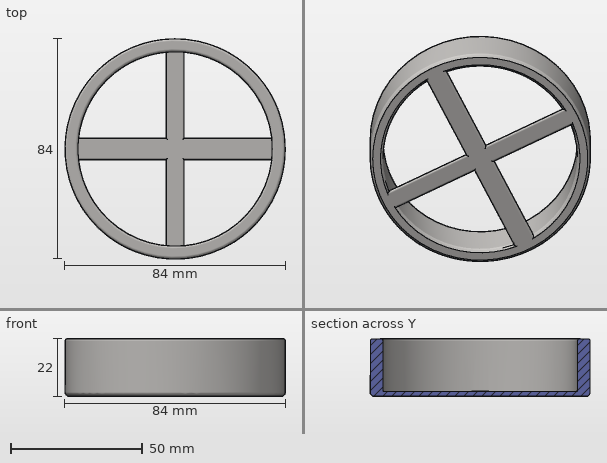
import cadquery as cq

outer_diameter = 84.0
inner_diameter = 74.0
height = 22.0
rim_fillet = 1.0
base_chamfer = 1.0
base_blend = 1.0

spoke_x_width = 8.2
spoke_y_width = 6.9
spoke_thickness = 2.0
spoke_top_fillet = 0.6
spoke_bottom_fillet = 0.75
spoke_length = (outer_diameter + inner_diameter) / 2


def make_ring():
    """Ring with rounded top edges and softened chamfers on both bottom edges."""
    ring = cq.Workplane("XY").circle(outer_diameter / 2).circle(inner_diameter / 2).extrude(height)
    ring = ring.faces(">Z").edges().fillet(rim_fillet)
    ring = ring.faces("<Z").edges().chamfer(base_chamfer)
    chamfer_rims = cq.selectors.BoxSelector(
        (-outer_diameter, -outer_diameter, base_chamfer / 2),
        (outer_diameter, outer_diameter, base_chamfer * 1.5),
    )
    return ring.edges("%CIRCLE").edges(chamfer_rims).fillet(base_blend)


def make_spokes():
    """Two crossing bars with rounded top and bottom edges."""
    bar_along_x = cq.Workplane("XY").rect(spoke_length, spoke_x_width).extrude(spoke_thickness)
    bar_along_y = cq.Workplane("XY").rect(spoke_y_width, spoke_length).extrude(spoke_thickness)
    cross = bar_along_x.union(bar_along_y)
    cross = cross.faces(">Z").edges().fillet(spoke_top_fillet)
    return cross.faces("<Z").edges().fillet(spoke_bottom_fillet)


result = make_ring().union(make_spokes())